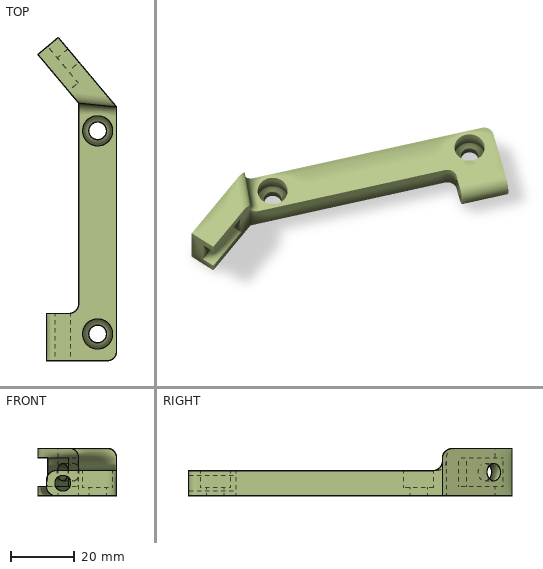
import cadquery as cq
import math

bar_width = 12.0
bar_height = 8.0
bar_outer_length = 80.0
bar_corner_radius = 3.0

arm_angle = math.radians(40.0)
arm_width = 8.4
arm_inner_length = 20.0
arm_height = 15.0
step_radius = 3.0

pocket_length = 15.0
pocket_depth = 4.0
pocket_wall = 3.0
arm_hole_diameter = 5.5
arm_hole_from_end = 7.5

lug_reach = 10.15
lug_length = 15.0
lug_edge_radius = 3.1
lug_root_radius = 3.0
lug_hole_diameter = 5.0
lug_hole_offset = 5.0

screw_hole_diameter = 5.5
counterbore_diameter = 9.5
counterbore_depth = 5.4
first_screw_y = 8.5
screw_spacing = 64.0

half_width = bar_width / 2
arm_along = (-math.sin(arm_angle), math.cos(arm_angle))
arm_across = (math.cos(arm_angle), math.sin(arm_angle))
knee_rise = (bar_width * math.cos(arm_angle) - arm_width) / math.sin(arm_angle)
knee_inner = (-half_width, bar_outer_length + knee_rise)
knee_outer = (half_width, bar_outer_length)


def offset_point(start, along=0.0, across=0.0):
    """Point moved from start along and across the arm direction."""
    return (
        start[0] + along * arm_along[0] + across * arm_across[0],
        start[1] + along * arm_along[1] + across * arm_across[1],
    )


arm_end_inner = offset_point(knee_inner, along=arm_inner_length)
arm_end_outer = offset_point(arm_end_inner, across=arm_width)


def make_bar():
    outline = [(-half_width, 0), (half_width, 0), knee_outer, knee_inner]
    bar = cq.Workplane("XY").polyline(outline).close().extrude(bar_height)
    return bar.edges("|Z and >X and <Y").fillet(bar_corner_radius)


def make_arm():
    outline = [knee_inner, knee_outer, arm_end_outer, arm_end_inner]
    return cq.Workplane("XY").polyline(outline).close().extrude(arm_height)


def soften_step(body):
    """Round the top of the step at the knee and blend its foot into the bar."""
    knee_mid = ((knee_inner[0] + knee_outer[0]) / 2, (knee_inner[1] + knee_outer[1]) / 2)
    crest = cq.selectors.NearestToPointSelector((*knee_mid, arm_height))
    foot = cq.selectors.NearestToPointSelector((*knee_mid, bar_height))
    return body.edges(crest).fillet(step_radius).edges(foot).fillet(step_radius)


def make_lug():
    lug = cq.Workplane("XY").box(lug_reach, lug_length, bar_height, centered=False)
    lug = lug.translate((-half_width - lug_reach, 0, 0))
    return lug.edges("|Y and <X").fillet(lug_edge_radius)


def make_lug_root():
    """Concave blend between the back of the lug and the side of the bar."""
    return (
        cq.Workplane("XY")
        .moveTo(-half_width, lug_length)
        .lineTo(-half_width, lug_length + lug_root_radius)
        .radiusArc((-half_width - lug_root_radius, lug_length), lug_root_radius)
        .close()
        .extrude(bar_height)
    )


def lug_hole():
    """Pivot hole along Y, long enough to clip the root blend behind the lug."""
    centre = cq.Vector(-half_width - lug_hole_offset, 0, bar_height / 2)
    axis = cq.Vector(0, 1, 0)
    length = lug_length + lug_root_radius
    return cq.Workplane(cq.Solid.makeCylinder(lug_hole_diameter / 2, length, centre, axis))


def arm_pocket():
    inner_start = offset_point(arm_end_inner, along=-pocket_length)
    outline = [
        arm_end_inner,
        inner_start,
        offset_point(inner_start, across=pocket_depth),
        offset_point(arm_end_inner, across=pocket_depth),
    ]
    pocket = cq.Workplane("XY").workplane(offset=pocket_wall).polyline(outline).close()
    return pocket.extrude(arm_height - 2 * pocket_wall)


def arm_hole():
    start = offset_point(arm_end_inner, along=-arm_hole_from_end)
    centre = cq.Vector(*start, arm_height / 2)
    axis = cq.Vector(*arm_across, 0)
    return cq.Workplane(cq.Solid.makeCylinder(arm_hole_diameter / 2, arm_width, centre, axis))


def drill_screw_holes(body):
    centres = [(0, first_screw_y), (0, first_screw_y + screw_spacing)]
    seat_z = bar_height - counterbore_depth
    holes = cq.Workplane("XY").pushPoints(centres).circle(screw_hole_diameter / 2).extrude(bar_height)
    seats = cq.Workplane("XY").workplane(offset=seat_z).pushPoints(centres)
    counterbores = seats.circle(counterbore_diameter / 2).extrude(counterbore_depth)
    return body.cut(holes).cut(counterbores)


body = soften_step(make_bar().union(make_arm()))
body = body.union(make_lug()).union(make_lug_root())
body = body.cut(lug_hole()).cut(arm_pocket()).cut(arm_hole())
result = drill_screw_holes(body)